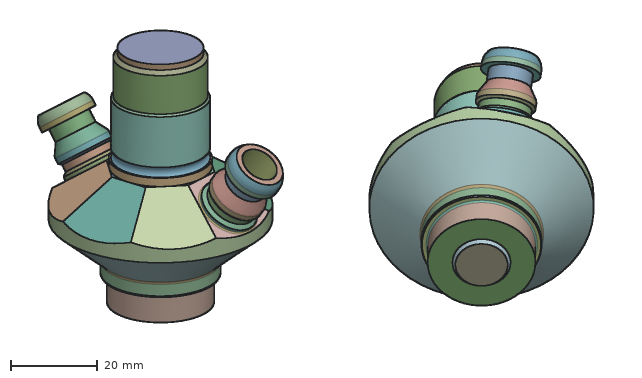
import cadquery as cq
import math

HEIGHT = 65.0
TIP_RADIUS = 20.0 / 2
UPPER_RADIUS = 22.0 / 2
COLUMN_RADIUS = 23.0 / 2
GROOVE_RADIUS = 10.75
COLLAR_RADIUS = 24.0 / 2
RIM_RADIUS = 26.0
RING_RADIUS = 28.0 / 2
PLUG_RADIUS = 25.0 / 2
SPIGOT_RADIUS = 6.75
SPIGOT_TAPER = 0.7

PLUG_BOTTOM = 0.95
RING_BOTTOM = 7.9
RIM_BOTTOM = 21.85
COLLAR_BOTTOM = 35.1
GROOVE_BOTTOM = 37.2
GROOVE_TOP = 39.7
COLUMN_TOP = 52.9
UPPER_TOP = 63.6
RING_EDGE_WIDTH = 0.2
RING_EDGE_HEIGHT = 0.4
PLUG_FILLET = 0.4
CONE_ANGLE = 40
CONE_FILLET = 1.0

FACETS = 8
FACET_ANGLE = 35

NOZZLE_REACH = 19.7
NOZZLE_LENGTH = 16.4
NOZZLE_ROOT = 1.35
BORE_RADIUS = 9.0 / 2
MOUTH_RADIUS = 6.0
BARB_RADIUS = 14.0 / 2
NECK_RADIUS = 10.5 / 2
WAIST_RADIUS = 12.5 / 2
FLANGE_RADIUS = 14.5 / 2
ROOT_FILLET = 0.35
LIP_ROUND_DEPTH = 2.5
LIP_DEPTH = 3.95
NECK_END = 7.3
BARB_MID_RADIUS = 6.2
BARB_MID_DEPTH = 8.9
BARB_SWELL_END = 10.55
BARB_START_ANGLE = 30
BARB_END = 12.1
WAIST_START = 12.65
WAIST_END = 14.5
FLARE_END = 15.4


def make_body():
    """Revolved body, with the shoulder left as a plain cylinder."""
    tan_cone = math.tan(math.radians(CONE_ANGLE))
    cone_bottom = RIM_BOTTOM - (RIM_RADIUS - RING_RADIUS) * tan_cone
    column_chamfer = COLUMN_RADIUS - UPPER_RADIUS
    upper_chamfer = UPPER_RADIUS - TIP_RADIUS

    setback = CONE_FILLET * math.tan(math.radians(90 - CONE_ANGLE) / 2)
    cone_radians = math.radians(CONE_ANGLE)
    fillet_start = (RING_RADIUS, cone_bottom - setback)
    fillet_end = (
        RING_RADIUS + setback * math.cos(cone_radians),
        cone_bottom + setback * math.sin(cone_radians),
    )

    return (
        cq.Workplane("XZ")
        .moveTo(0, 0)
        .lineTo(SPIGOT_RADIUS - SPIGOT_TAPER, 0)
        .lineTo(SPIGOT_RADIUS, PLUG_BOTTOM)
        .lineTo(PLUG_RADIUS, PLUG_BOTTOM)
        .lineTo(PLUG_RADIUS, RING_BOTTOM - PLUG_FILLET)
        .tangentArcPoint((PLUG_RADIUS + PLUG_FILLET, RING_BOTTOM), relative=False)
        .lineTo(RING_RADIUS - RING_EDGE_WIDTH, RING_BOTTOM)
        .lineTo(RING_RADIUS, RING_BOTTOM + RING_EDGE_HEIGHT)
        .lineTo(*fillet_start)
        .tangentArcPoint(fillet_end, relative=False)
        .lineTo(RIM_RADIUS, RIM_BOTTOM)
        .lineTo(RIM_RADIUS, COLLAR_BOTTOM)
        .lineTo(COLLAR_RADIUS, COLLAR_BOTTOM)
        .lineTo(COLLAR_RADIUS, GROOVE_BOTTOM)
        .lineTo(COLUMN_RADIUS, GROOVE_BOTTOM)
        .threePointArc((GROOVE_RADIUS, (GROOVE_BOTTOM + GROOVE_TOP) / 2), (COLUMN_RADIUS, GROOVE_TOP))
        .lineTo(COLUMN_RADIUS, COLUMN_TOP - column_chamfer)
        .lineTo(UPPER_RADIUS, COLUMN_TOP)
        .lineTo(UPPER_RADIUS, UPPER_TOP - upper_chamfer)
        .lineTo(TIP_RADIUS, UPPER_TOP)
        .lineTo(TIP_RADIUS, HEIGHT)
        .lineTo(0, HEIGHT)
        .close()
        .revolve(360, (0, 0, 0), (0, 1, 0))
    )


def cut_facets(body):
    """Slope the shoulder with flat facets that start at the foot of the collar."""
    run = RIM_RADIUS
    drop = run * math.tan(math.radians(FACET_ANGLE))
    cutter = (
        cq.Workplane("XZ", origin=(0, RIM_RADIUS, 0))
        .moveTo(COLLAR_RADIUS, COLLAR_BOTTOM)
        .lineTo(COLLAR_RADIUS + run, COLLAR_BOTTOM - drop)
        .lineTo(COLLAR_RADIUS + run, COLLAR_BOTTOM)
        .close()
        .extrude(2 * RIM_RADIUS)
    )
    for i in range(FACETS):
        body = body.cut(cutter.rotate((0, 0, 0), (0, 0, 1), i * 360 / FACETS))
    return body


def nozzle_plane():
    """Plane on the +X facet with its Y axis pointing out along the nozzle."""
    angle = math.radians(FACET_ANGLE)
    foot_z = COLLAR_BOTTOM - (NOZZLE_REACH - COLLAR_RADIUS) * math.tan(angle)
    return cq.Plane(
        origin=(NOZZLE_REACH, 0, foot_z),
        xDir=(math.cos(angle), 0, -math.sin(angle)),
        normal=(0, -1, 0),
    )


def make_nozzle():
    """Barbed hose nozzle with its root sunk into the shoulder."""

    def at(radius, depth):
        return (radius, NOZZLE_LENGTH - depth)

    foot_radius = FLANGE_RADIUS + ROOT_FILLET
    arc_rise = ROOT_FILLET * math.sqrt(0.5)
    arc_inset = ROOT_FILLET - arc_rise

    start_radians = math.radians(BARB_START_ANGLE)
    neck_direction = (-math.sin(start_radians), math.cos(start_radians))
    swell = [at(BARB_MID_RADIUS, BARB_MID_DEPTH), at(NECK_RADIUS, NECK_END)]

    return (
        cq.Workplane(nozzle_plane())
        .moveTo(0, -NOZZLE_ROOT)
        .lineTo(foot_radius, -NOZZLE_ROOT)
        .lineTo(foot_radius, 0)
        .threePointArc((foot_radius - arc_rise, arc_inset), (FLANGE_RADIUS, ROOT_FILLET))
        .lineTo(*at(FLANGE_RADIUS, FLARE_END))
        .lineTo(*at(WAIST_RADIUS, WAIST_END))
        .lineTo(*at(WAIST_RADIUS, WAIST_START))
        .lineTo(*at(BARB_RADIUS, BARB_END))
        .lineTo(*at(BARB_RADIUS, BARB_SWELL_END))
        .spline(swell, tangents=[(0, 1), neck_direction], includeCurrent=True)
        .lineTo(*at(NECK_RADIUS, LIP_DEPTH))
        .lineTo(*at(BARB_RADIUS, LIP_DEPTH))
        .lineTo(*at(BARB_RADIUS, LIP_ROUND_DEPTH))
        .tangentArcPoint(at(MOUTH_RADIUS, 0), relative=False)
        .lineTo(*at(0, 0))
        .close()
        .revolve(360, (0, 0, 0), (0, 1, 0))
    )


def make_bore():
    """Blind nozzle bore, from the mouth down to the facet."""
    plane = nozzle_plane()
    return cq.Workplane(
        cq.Solid.makeCylinder(BORE_RADIUS, NOZZLE_LENGTH, plane.origin, plane.yDir)
    )


result = cut_facets(make_body())
for turn in (0, 180):
    nozzle = make_nozzle().rotate((0, 0, 0), (0, 0, 1), turn)
    bore = make_bore().rotate((0, 0, 0), (0, 0, 1), turn)
    result = result.union(nozzle).cut(bore)